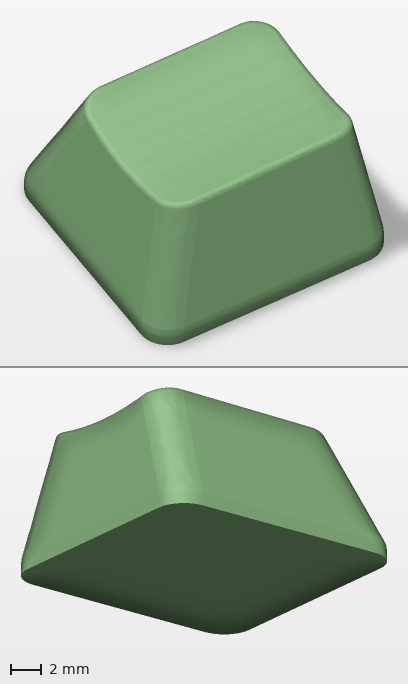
import cadquery as cq

base_side = 18.16
skirt_height = 0.78
base_corner_radius = 2.03

blend_top = 1.3
side_slope = 0.37
front_slope = 0.38
back_slope = 0.085

wall_top = 10.17
top_corner_radius = 1.96

dish_radius = 22.52
dish_floor = 8.39
dish_tilt = 1.2
dish_length = 2 * base_side
top_edge_radius = 0.4


def wall_run(height):
    """Height that the full slope acts over; grows as a parabola through the blend band."""
    blend_height = blend_top - skirt_height
    if height <= blend_top:
        return (height - skirt_height) ** 2 / (2 * blend_height)
    return blend_height / 2 + height - blend_top


def section(height):
    """Rounded rectangular sketch of the outer wall at the given height."""
    run = wall_run(height)
    width = base_side - 2 * side_slope * run
    depth = base_side - (front_slope + back_slope) * run
    center_y = (front_slope - back_slope) * run / 2
    radius_loss = base_corner_radius - top_corner_radius
    radius = base_corner_radius - radius_loss * run / wall_run(wall_top)
    outline = cq.Sketch().rect(width, depth).vertices().fillet(radius)
    return outline.moved(cq.Location(cq.Vector(0, center_y, height)))


def loft_sections(heights, ruled):
    """Solid through the wall sections, with straight walls when ruled."""
    sections = [section(height) for height in heights]
    return cq.Workplane("XY").placeSketch(*sections).loft(ruled=ruled)


skirt = cq.Workplane("XY").placeSketch(section(skirt_height)).extrude(-skirt_height)
blend_middle = (skirt_height + blend_top) / 2
blend = loft_sections([skirt_height, blend_middle, blend_top], ruled=False)
walls = loft_sections([blend_top, wall_top], ruled=True)

dish = (
    cq.Workplane("XZ")
    .circle(dish_radius)
    .extrude(dish_length / 2, both=True)
    .rotate((0, 0, 0), (1, 0, 0), dish_tilt)
    .translate((0, 0, dish_floor + dish_radius))
)
crown = walls.cut(dish)
crown = crown.faces(">Z").edges().fillet(top_edge_radius)

result = skirt.union(blend).union(crown)